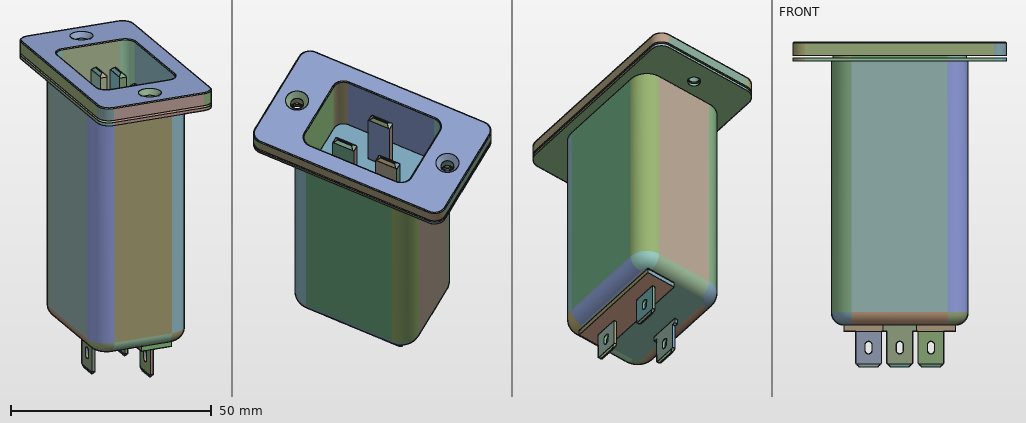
import cadquery as cq
import math

total_height = 81.0

flange_length = 53.2
flange_width = 30.7
flange_corner_radius = 3.1
flange_thickness = 3.4
edge_break = 0.25
gasket_thickness = 0.8
gasket_gap = 0.6

body_length = 34.1
body_width = 25.9
body_corner_radius = 5.1
body_bottom_radius = 3.2
body_bottom_depth = 70.55
neck_inset = 0.4

cavity_length = 29.5
cavity_width = 21.2
cavity_corner_radius = 2.75
cavity_depth = 18.5

mount_spacing = 41.95
mount_hole_diameter = 3.15
countersink_diameter = 5.75
countersink_angle = 90.0

pin_length = 5.9
pin_thickness = 1.8
line_pin_tip_depth = 4.3
earth_pin_tip_depth = 0.8
pin_end_chamfer = 1.0
pin_side_chamfer = 0.7
line_pin_x = 6.0
line_pin_y = 3.3
earth_pin_y = -4.5

tab_width = 6.5
tab_thickness = 0.8
tab_corner_clip = 1.0
tab_bevel_inset = 0.25
tab_bevel_height = 0.7
tab_pitch = 7.8
rear_tab_y = 4.95
front_tab_y = -7.45
slot_width = 1.7
slot_height = 3.1
slot_above_tip = 4.9

base_height = 1.5
base_length = 27.9
base_width = 8.3
shoulder_width = 8.35

gasket_bottom_depth = flange_thickness + gasket_gap + gasket_thickness
base_bottom_depth = body_bottom_depth + base_height


def rounded_block(length, width, corner_radius, top_depth, bottom_depth):
    """Upright block with rounded vertical edges between two depths."""
    height = bottom_depth - top_depth
    block = cq.Workplane("XY", origin=(0, 0, -bottom_depth)).box(
        length, width, height, centered=(True, True, False)
    )
    return block.edges("|Z").fillet(corner_radius)


def make_flange():
    """Plate with a broken top edge."""
    plate = rounded_block(flange_length, flange_width, flange_corner_radius, 0, flange_thickness)
    return plate.faces(">Z").edges().chamfer(edge_break)


def make_gasket():
    """Thin plate below the flange, joined to it by a slightly inset neck."""
    neck = rounded_block(
        body_length - 2 * neck_inset,
        body_width - 2 * neck_inset,
        body_corner_radius - neck_inset,
        flange_thickness,
        gasket_bottom_depth,
    )
    plate = rounded_block(
        flange_length,
        flange_width,
        flange_corner_radius,
        gasket_bottom_depth - gasket_thickness,
        gasket_bottom_depth,
    )
    return neck.union(plate)


def make_housing():
    """Deep body with a rounded bottom edge."""
    body = rounded_block(
        body_length, body_width, body_corner_radius, gasket_bottom_depth, body_bottom_depth
    )
    return body.faces("<Z").edges().fillet(body_bottom_radius)


def make_cavity():
    """Socket opening, flared by the edge break at the flange face."""
    pocket = rounded_block(cavity_length, cavity_width, cavity_corner_radius, 0, cavity_depth)
    flare = (
        cq.Workplane("XY")
        .sketch()
        .rect(cavity_length + 2 * edge_break, cavity_width + 2 * edge_break)
        .vertices()
        .fillet(cavity_corner_radius + edge_break)
        .finalize()
        .extrude(-edge_break, taper=45)
    )
    return pocket.union(flare)


def tapered_prism(plane, width, length, root_z, tip_z, tip_inset, tip_height):
    """Prism along the plane's normal whose profile narrows near its tip."""
    toward_root = math.copysign(1, root_z - tip_z)
    shoulder_z = tip_z + toward_root * tip_height
    half_width = width / 2
    half_tip = half_width - tip_inset
    profile = [
        (-half_width, root_z),
        (-half_width, shoulder_z),
        (-half_tip, tip_z),
        (half_tip, tip_z),
        (half_width, shoulder_z),
        (half_width, root_z),
    ]
    return cq.Workplane(plane).polyline(profile).close().extrude(length / 2, both=True)


def make_pin(x, y, tip_depth):
    """Flat contact pin rising from the cavity floor, chamfered on all four sides of its tip."""
    end_chamfered = tapered_prism(
        "XZ", pin_length, pin_thickness, -cavity_depth, -tip_depth, pin_end_chamfer, pin_end_chamfer
    )
    side_chamfered = tapered_prism(
        "YZ", pin_thickness, pin_length, -cavity_depth, -tip_depth, pin_side_chamfer, pin_side_chamfer
    )
    return end_chamfered.intersect(side_chamfered).translate((x, y, 0))


def make_tab(x, y):
    """Solder tab with an upright slot, clipped corners and a thinned tip."""
    clipped = tapered_prism(
        "XZ", tab_width, tab_thickness, -body_bottom_depth, -total_height, tab_corner_clip, tab_corner_clip
    )
    bevelled = tapered_prism(
        "YZ", tab_thickness, tab_width, -body_bottom_depth, -total_height, tab_bevel_inset, tab_bevel_height
    )
    slot = (
        cq.Workplane("XZ", origin=(0, 0, slot_above_tip - total_height))
        .slot2D(slot_height, slot_width, 90)
        .extrude(tab_thickness, both=True)
    )
    return clipped.intersect(bevelled).cut(slot).translate((x, y, 0))


def make_base(length, width, y):
    """Rectangular block hanging from the bottom of the housing."""
    return cq.Workplane("XY", origin=(0, y, -base_bottom_depth)).box(
        length, width, base_height, centered=(True, True, False)
    )


result = make_flange().union(make_gasket()).union(make_housing())
result = result.cut(make_cavity())
result = (
    result.faces(">Z")
    .workplane(origin=(0, 0, 0))
    .pushPoints([(-mount_spacing / 2, 0), (mount_spacing / 2, 0)])
    .cskHole(mount_hole_diameter, countersink_diameter, countersink_angle)
)

for pin_x in (-line_pin_x, line_pin_x):
    result = result.union(make_pin(pin_x, line_pin_y, line_pin_tip_depth))
result = result.union(make_pin(0, earth_pin_y, earth_pin_tip_depth))

result = result.union(make_base(base_length, base_width, rear_tab_y))
result = result.union(make_base(shoulder_width, tab_thickness, front_tab_y))
for tab_x, tab_y in [(-tab_pitch, rear_tab_y), (tab_pitch, rear_tab_y), (0.0, front_tab_y)]:
    result = result.union(make_tab(tab_x, tab_y))